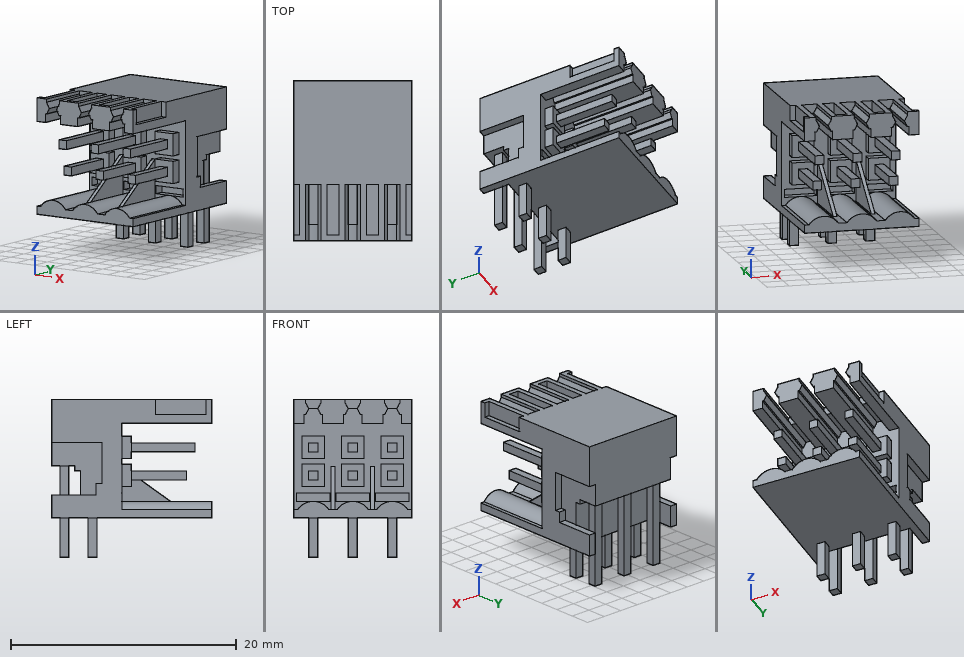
import cadquery as cq


WIDTH = 10.5
LENGTH = 14.2
HEIGHT = 10.5
PITCH = WIDTH / 3
POLE_X = [-PITCH, 0, PITCH]
BETWEEN_POLES_X = [-PITCH / 2, PITCH / 2]
ARM_X = [-1.5 * PITCH, -PITCH / 2, PITCH / 2, 1.5 * PITCH]

WALL_Y = 7.98
FLOOR_Z = 0.74
ROOF_THICKNESS = 2.13
ROOF_Z = HEIGHT - ROOF_THICKNESS

SLOT_END_Y = 5.0
SLOT_TOP_HALF = 0.7
SLOT_NECK_HALF = 0.4
SLOT_FLARE_HALF = 0.67
SLOT_FOOT_HALF = 0.81
SLOT_LIP_Z = HEIGHT - 0.28
SLOT_NECK_Z = 9.67
SLOT_SHOULDER_Z = 9.15

POCKET_WIDTH = 1.02
POCKET_FRONT_Y = 0.51
POCKET_DEPTH = 1.36

RIDGE_WIDTH = 2.74
RIDGE_HEIGHT = 0.71

RIB_THICKNESS = 0.35
RIB_FRONT_Y = 2.65
RIB_TOP_Z = 4.56

RECESS_WIDTH = 2.94
RECESS_HEIGHT = 0.74
RECESS_DEPTH = 0.85
RECESS_Z = FLOOR_Z + RIDGE_HEIGHT

PIN_SIZE = 0.81
PIN_DROP = 3.51
ROW_PITCH = 2.48
COLLAR_SIZE = 2.0
COLLAR_LENGTH = 0.85
LOWER_ROW_Z = 3.75
UPPER_ROW_Z = LOWER_ROW_Z + ROW_PITCH
REAR_LEG_Y = 13.06
FRONT_LEG_Y = REAR_LEG_Y - ROW_PITCH
UPPER_TIP_Y = 1.48
LOWER_TIP_Y = 2.23

SIDE_WALL = 0.71
WINDOW_TOP_Z = 6.67
WINDOW_FRONT_Y = 9.75
WINDOW_STEP_Y = 10.27
WINDOW_STEP_Z = 3.02
WINDOW_SILL_Z = 2.03
CORE_BOTTOM_Z = 4.6
CORE_STEP_Z = 4.16
CORE_STEP_Y = 12.17
CORE_REAR_Y = 11.66


def block(x_center, x_size, y_range, z_range):
    """Box centred on x_center and spanning the given Y and Z ranges."""
    y_low, y_high = y_range
    z_low, z_high = z_range
    box = cq.Workplane("XY").box(x_size, y_high - y_low, z_high - z_low, centered=(True, False, False))
    return box.translate((x_center, y_low, z_low))


def side_profile(points, x_center, thickness):
    """Plate with a YZ outline, centred on x_center."""
    plate = cq.Workplane("YZ").polyline(points).close().extrude(thickness / 2, both=True)
    return plate.translate((x_center, 0, 0))


def front_profile(points, x_center, length):
    """Bar with an XZ outline, running from the mouth opening toward +Y."""
    return cq.Workplane("XZ").polyline(points).close().extrude(-length).translate((x_center, 0, 0))


def cut_roof_slot(body, x):
    """Double-dovetail slot; its part below the neck runs on to the mouth wall."""
    upper_half = [
        (SLOT_NECK_HALF, SLOT_NECK_Z),
        (SLOT_TOP_HALF, SLOT_LIP_Z),
        (SLOT_TOP_HALF, HEIGHT),
    ]
    lower_half = [
        (SLOT_FOOT_HALF, ROOF_Z),
        (SLOT_FOOT_HALF, SLOT_SHOULDER_Z),
        (SLOT_FLARE_HALF, SLOT_SHOULDER_Z),
        (SLOT_NECK_HALF, SLOT_NECK_Z),
    ]
    for half, length in ((upper_half, SLOT_END_Y), (lower_half, WALL_Y)):
        mirrored = [(-px, pz) for px, pz in reversed(half)]
        body = body.cut(front_profile(half + mirrored, x, length))
    return body


def floor_ridge(x):
    """Ridge with an arched top across the full mouth depth."""
    half = RIDGE_WIDTH / 2
    ridge = (
        cq.Workplane("XZ")
        .moveTo(-half, 0)
        .lineTo(-half, FLOOR_Z)
        .threePointArc((0, FLOOR_Z + RIDGE_HEIGHT), (half, FLOOR_Z))
        .lineTo(half, 0)
        .close()
        .extrude(-WALL_Y)
    )
    return ridge.translate((x, 0, 0))


def bent_pin(x, row_z, tip_y, leg_y):
    """Square pin with a horizontal contact, a collar at the wall and a leg below the housing."""
    half = PIN_SIZE / 2
    contact = block(x, PIN_SIZE, (tip_y, leg_y + half), (row_z - half, row_z + half))
    leg = block(x, PIN_SIZE, (leg_y - half, leg_y + half), (-PIN_DROP, row_z))
    collar_z = (row_z - COLLAR_SIZE / 2, row_z + COLLAR_SIZE / 2)
    collar = block(x, COLLAR_SIZE, (WALL_Y - COLLAR_LENGTH, WALL_Y), collar_z)
    return contact.union(leg).union(collar)


body = block(0, WIDTH, (0, LENGTH), (0, HEIGHT))
body = body.cut(block(0, WIDTH, (0, WALL_Y), (FLOOR_Z, ROOF_Z)))

window_outline = [
    (LENGTH, WINDOW_TOP_Z),
    (WINDOW_FRONT_Y, WINDOW_TOP_Z),
    (WINDOW_FRONT_Y, WINDOW_STEP_Z),
    (WINDOW_STEP_Y, WINDOW_STEP_Z),
    (WINDOW_STEP_Y, WINDOW_SILL_Z),
    (LENGTH, WINDOW_SILL_Z),
]
for side in (-1, 1):
    wall_x = side * (WIDTH - SIDE_WALL) / 2
    body = body.cut(side_profile(window_outline, wall_x, SIDE_WALL))

core_gap_outline = [
    (LENGTH, CORE_BOTTOM_Z),
    (CORE_STEP_Y, CORE_BOTTOM_Z),
    (CORE_STEP_Y, CORE_STEP_Z),
    (CORE_REAR_Y, CORE_STEP_Z),
    (CORE_REAR_Y, 0),
    (LENGTH, 0),
]
body = body.cut(side_profile(core_gap_outline, 0, WIDTH - 2 * SIDE_WALL))

for x in ARM_X:
    body = body.cut(block(x, POCKET_WIDTH, (POCKET_FRONT_Y, SLOT_END_Y), (HEIGHT - POCKET_DEPTH, HEIGHT)))

for x in POLE_X:
    body = cut_roof_slot(body, x)
    body = body.union(floor_ridge(x))
    recess_y = (WALL_Y, WALL_Y + RECESS_DEPTH)
    body = body.cut(block(x, RECESS_WIDTH, recess_y, (RECESS_Z, RECESS_Z + RECESS_HEIGHT)))
    body = body.union(bent_pin(x, UPPER_ROW_Z, UPPER_TIP_Y, REAR_LEG_Y))
    body = body.union(bent_pin(x, LOWER_ROW_Z, LOWER_TIP_Y, FRONT_LEG_Y))

rib_outline = [(RIB_FRONT_Y, FLOOR_Z), (WALL_Y, FLOOR_Z), (WALL_Y, RIB_TOP_Z)]
for x in BETWEEN_POLES_X:
    body = body.union(side_profile(rib_outline, x, RIB_THICKNESS))

result = body